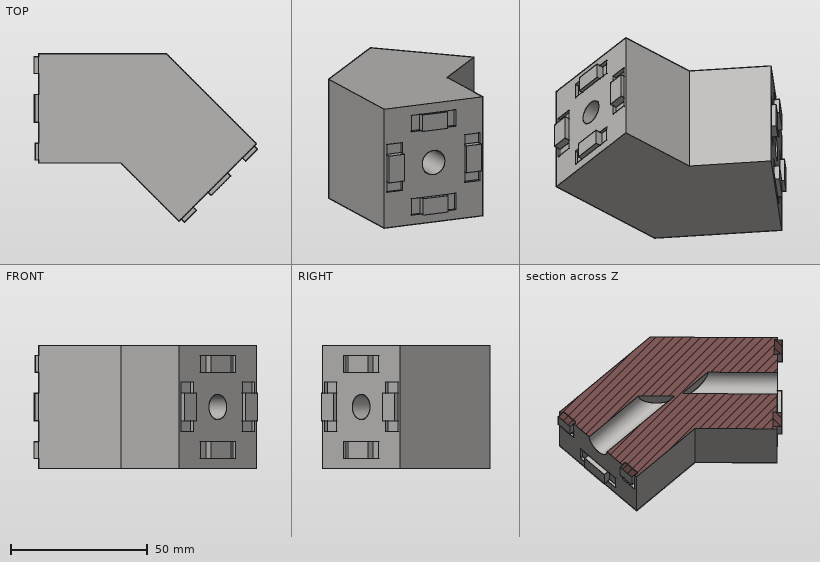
import cadquery as cq
import math

WIDTH = 40.0
HEIGHT = 45.0
BEND_ANGLE = 45.0
INNER_LEG = 30.0
OUTER_LEG = INNER_LEG + WIDTH * math.tan(math.radians(BEND_ANGLE / 2))

BORE_DIAMETER = 9.15
BORE_DEPTH = INNER_LEG

SLOT_LENGTH = 18.05
SLOT_WIDTH = 6.2
SLOT_OFFSET = 15.8
TAB_LENGTH = 10.1

TURN = math.radians(BEND_ANGLE)
ARM = cq.Vector(math.cos(TURN), -math.sin(TURN), 0)
ACROSS = cq.Vector(-math.sin(TURN), -math.cos(TURN), 0)

OUTER_ELBOW = cq.Vector(OUTER_LEG, 0, 0)
OUTER_END = OUTER_ELBOW + ARM * OUTER_LEG
INNER_END = OUTER_END + ACROSS * WIDTH
INNER_ELBOW = cq.Vector(INNER_LEG, -WIDTH, 0)
INNER_START = cq.Vector(0, -WIDTH, 0)

MID_HEIGHT = cq.Vector(0, 0, HEIGHT / 2)
START_FACE = cq.Plane(
    origin=INNER_START * 0.5 + MID_HEIGHT,
    xDir=(0, 0, -1),
    normal=(-1, 0, 0),
)
END_FACE = cq.Plane(
    origin=(OUTER_END + INNER_END) * 0.5 + MID_HEIGHT,
    xDir=ACROSS * -1,
    normal=ARM,
)

DEEP_LOW = (1.5, 1.3)
SHALLOW_HIGH = (1.0, 1.8)
MIDDLE = (1.15, 1.6)
MIDDLE_HIGH = (1.15, 1.7)
DEEP_HIGH = (1.5, 1.7)

START_PLACES = [SHALLOW_HIGH, DEEP_LOW, DEEP_LOW, SHALLOW_HIGH]
END_PLACES = [MIDDLE_HIGH, MIDDLE, DEEP_HIGH, MIDDLE]


def make_blank():
    """Solid bent block without slots or bores."""
    corners = [cq.Vector(0, 0, 0), OUTER_ELBOW, OUTER_END, INNER_END, INNER_ELBOW, INNER_START]
    outline = [(corner.x, corner.y) for corner in corners]
    return cq.Workplane("XY").polyline(outline).close().extrude(HEIGHT)


def make_block(face, angle, length, bottom, top):
    """Block as wide as a slot, at one of the tab places, between two levels above the end face."""
    return (
        cq.Workplane(face)
        .workplane(offset=bottom)
        .transformed(rotate=(0, 0, angle))
        .center(SLOT_OFFSET, 0)
        .rect(SLOT_WIDTH, length)
        .extrude(top - bottom)
    )


def make_slot(face, angle, depth):
    """Cutter for a slot that runs past both ends of its tab."""
    return make_block(face, angle, SLOT_LENGTH, -depth, 0)


def make_tab(face, angle, depth, projection):
    """Tab that stands on the slot floor and projects from the end face."""
    return make_block(face, angle, TAB_LENGTH, -depth, projection)


def make_bore(face, floor_normal):
    """Cutter for a blind bore, with a slanted floor that crosses the bore axis at BORE_DEPTH."""
    cutter_length = BORE_DEPTH + BORE_DIAMETER
    cylinder = cq.Workplane(face).circle(BORE_DIAMETER / 2).extrude(-cutter_length)
    floor_centre = face.origin - face.zDir * BORE_DEPTH
    floor = cq.Plane(origin=floor_centre, xDir=(0, 0, 1), normal=floor_normal)
    beyond_floor = cq.Workplane(floor).rect(cutter_length, cutter_length).extrude(-cutter_length)
    return cylinder.cut(beyond_floor)


housing = make_blank()

housing = housing.cut(make_bore(START_FACE, ACROSS))
housing = housing.cut(make_bore(END_FACE, cq.Vector(0, -1, 0)))

tabs = []
for face, places in ((START_FACE, START_PLACES), (END_FACE, END_PLACES)):
    angle_step = 360 / len(places)
    for index, (depth, projection) in enumerate(places):
        angle = index * angle_step
        housing = housing.cut(make_slot(face, angle, depth))
        tabs.append(make_tab(face, angle, depth, projection).val())

result = cq.Compound.makeCompound([housing.solids().val(), *tabs])